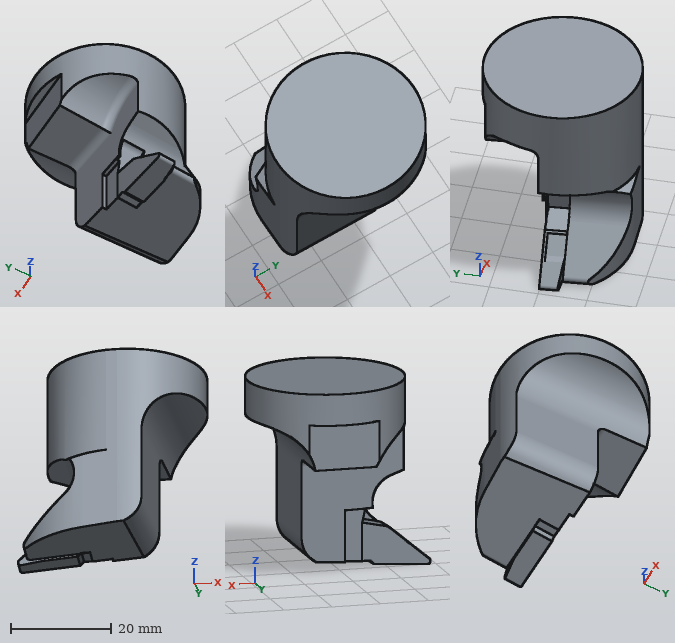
import cadquery as cq
import math

shank_radius = 16.0
part_height = 40.0
front_flat_y = -15.95
tool_tilt = 5.0
beyond = 32.0

rear_flat_y = 14.25
rear_flat_top = -6.4
rear_wall = 2.9
ceiling_radius = 12.0
ceiling_left_z = -9.35
ceiling_flat_z = -15.8
relief_fillet = 3.4 / 2
stem_x = 5.85
shoulder_radius = 10.15
shoulder_center_z = -17.7
heel_radius = 6.0
heel_top_z = -32.1

flare_right_x = 1.0
flare_arc_start_x = -5.9
flare_radius = 16.8
flare_arc_angle = 53.0
flare_top_z = -21.8
flare_top_slope = 30.0
bottom_z_at_axis = -37.6
bottom_slope = 5.0
nose_tip_radius = 0.9

groove_radius = 5.6
groove_x = -14.65
groove_z = -26.15
groove_upper_slope = 18.0
rake_slope = 40.0

insert_front_y = -2.6
insert_back_y = 1.95
insert_right_x = -7.2
insert_top_z = -31.55
insert_top_slope = 13.0
insert_tip_x = -21.8
insert_tip_radius = 0.65
insert_tip_front_y = -1.75
insert_taper_x = -16.8
insert_heel_x = -9.7
insert_heel_chamfer = 0.8
insert_bottom_z = -40.0
insert_bottom_slope = 5.0
notch_top_z = -22.95
notch_back_y = 2.6
notch_fillet = 3.0 / 2
lip_left_x = -3.2
lip_top_z = -27.2
chip_depth = 0.3
chip_margin = 0.65
chip_length = 5.2
chip_ramp = 1.2


def tan(degrees):
    return math.tan(math.radians(degrees))


def on_circle(x, z, radius, degrees):
    angle = math.radians(degrees)
    return (x + radius * math.cos(angle), z + radius * math.sin(angle))


def extrude_xz(outline, y_min, y_max):
    """Extrude a closed XZ outline between two Y positions."""
    return outline.extrude(y_min - y_max).translate((0, y_min, 0))


def box(x, y, z):
    """Box between the (low, high) limits along each axis."""
    return (
        cq.Workplane("XY")
        .box(x[1] - x[0], y[1] - y[0], z[1] - z[0], centered=False)
        .translate((x[0], y[0], z[0]))
    )


def tilt(shape):
    """Turn a shape from the head frame into the part frame."""
    return shape.rotate((0, 0, 0), (0, 0, 1), tool_tilt)


def make_flare():
    center_y = front_flat_y + flare_radius
    middle = on_circle(flare_arc_start_x, center_y, flare_radius, -90 - flare_arc_angle / 2)
    end = on_circle(flare_arc_start_x, center_y, flare_radius, -90 - flare_arc_angle)
    left_x = -1.5 * shank_radius
    side_y = end[1] + (end[0] - left_x) * tan(flare_arc_angle)
    plan = (
        cq.Workplane("XY")
        .workplane(offset=-part_height)
        .moveTo(flare_right_x, front_flat_y)
        .lineTo(flare_arc_start_x, front_flat_y)
        .threePointArc(middle, end)
        .lineTo(left_x, side_y)
        .lineTo(left_x, rear_wall)
        .lineTo(flare_right_x, rear_wall)
        .close()
        .extrude(part_height)
    )
    cone_rise = shank_radius * tan(flare_top_slope)
    cone_drop = (beyond - shank_radius) * tan(flare_top_slope)
    cone = (
        cq.Workplane("XZ")
        .polyline([
            (0, -part_height),
            (beyond, -part_height),
            (beyond, flare_top_z - cone_drop),
            (0, flare_top_z + cone_rise),
        ])
        .close()
        .revolve(360, (0, 0, 0), (0, 1, 0))
    )
    return plan.intersect(cone)


def make_rear_relief():
    """Space behind the head, under an arched ceiling."""
    center_z = ceiling_left_z - ceiling_radius
    end_angle = math.degrees(math.asin((ceiling_flat_z - center_z) / ceiling_radius))
    middle = on_circle(-shank_radius, center_z, ceiling_radius, (90 + end_angle) / 2)
    end = on_circle(-shank_radius, center_z, ceiling_radius, end_angle)
    outline = (
        cq.Workplane("XZ")
        .moveTo(-beyond, -beyond * 2)
        .lineTo(-beyond, ceiling_left_z)
        .lineTo(-shank_radius, ceiling_left_z)
        .threePointArc(middle, end)
        .lineTo(beyond, ceiling_flat_z)
        .lineTo(beyond, -beyond * 2)
        .close()
    )
    relief = extrude_xz(outline, rear_wall, beyond)
    ceiling_edges = cq.selectors.BoxSelector(
        (-beyond + 0.4, rear_wall - 0.4, ceiling_flat_z - 0.4),
        (beyond - 0.4, rear_wall + 0.4, ceiling_left_z + 0.4),
    )
    return relief.edges(ceiling_edges).fillet(relief_fillet)


def make_stem_relief():
    """Space to the right of the stem: shoulder arc, straight side and rounded heel."""
    shoulder_x = stem_x + shoulder_radius
    heel_x = stem_x - heel_radius
    outline = (
        cq.Workplane("XZ")
        .moveTo(beyond, shoulder_center_z + shoulder_radius)
        .lineTo(shoulder_x, shoulder_center_z + shoulder_radius)
        .threePointArc(
            on_circle(shoulder_x, shoulder_center_z, shoulder_radius, 135),
            (stem_x, shoulder_center_z),
        )
        .lineTo(stem_x, heel_top_z)
        .threePointArc(
            on_circle(heel_x, heel_top_z, heel_radius, -45),
            (heel_x, heel_top_z - heel_radius),
        )
        .lineTo(heel_x, -beyond * 2)
        .lineTo(beyond, -beyond * 2)
        .close()
    )
    return extrude_xz(outline, -beyond, beyond)


def make_head_envelope():
    """Keep-shape of the head: chip groove, raked face, rounded tip and sloped bottom."""
    upper = on_circle(groove_x, groove_z, groove_radius, 90 - groove_upper_slope)
    lower = on_circle(groove_x, groove_z, groove_radius, rake_slope - 90)
    tip_x = (
        (lower[1] - lower[0] * tan(rake_slope) - bottom_z_at_axis)
        / (tan(bottom_slope) - tan(rake_slope))
    )
    tip_z = bottom_z_at_axis + tip_x * tan(bottom_slope)
    outline = (
        cq.Workplane("XZ")
        .moveTo(-beyond, 0)
        .lineTo(-beyond, upper[1] + (upper[0] + beyond) * tan(groove_upper_slope))
        .lineTo(*upper)
        .threePointArc((groove_x + groove_radius, groove_z), lower)
        .lineTo(tip_x, tip_z)
        .lineTo(beyond, bottom_z_at_axis + beyond * tan(bottom_slope))
        .lineTo(beyond, 0)
        .close()
    )
    envelope = extrude_xz(outline, -beyond, beyond)
    tip_edge = cq.selectors.BoxSelector(
        (tip_x - 0.4, -beyond, tip_z - 0.4), (tip_x + 0.4, beyond, tip_z + 0.4)
    )
    return envelope.edges(tip_edge).fillet(nose_tip_radius)


def insert_tip_point(degrees):
    """Point on the rounded tip, which touches the left and bottom limits of the insert."""
    return on_circle(
        insert_tip_x + insert_tip_radius,
        insert_bottom_z + insert_tip_radius,
        insert_tip_radius,
        degrees,
    )


def insert_top_left():
    """Left end of the insert's top face, where the raked face tangent to the tip meets it."""
    rake_start = insert_tip_point(90 + rake_slope)
    return (rake_start[0] + (insert_top_z - rake_start[1]) / tan(rake_slope), insert_top_z)


def insert_top_right():
    left_x, left_z = insert_top_left()
    return (insert_right_x, left_z + (insert_right_x - left_x) * tan(insert_top_slope))


def make_seat():
    """Insert seat, the notch above it and the trimmed lip behind it."""
    left_x, left_z = insert_top_left()
    right_x, right_z = insert_top_right()
    seat_outline = (
        cq.Workplane("XZ")
        .polyline([
            (-beyond, -beyond * 2),
            (-beyond, left_z),
            (left_x, left_z),
            (right_x, right_z),
            (right_x, -beyond * 2),
        ])
        .close()
    )
    seat = extrude_xz(seat_outline, insert_front_y, insert_back_y)
    notch_right_x = right_x - (notch_top_z - right_z) * tan(insert_top_slope)
    notch_outline = (
        cq.Workplane("XZ")
        .polyline([
            (left_x, left_z),
            (left_x, notch_top_z),
            (notch_right_x, notch_top_z),
            (right_x, right_z),
        ])
        .close()
    )
    notch = extrude_xz(notch_outline, insert_front_y, notch_back_y)
    notch = notch.edges("|Y").edges(">Z").edges(">X").fillet(notch_fillet)
    lip_trim = box((-beyond, lip_left_x), (insert_back_y, beyond), (-beyond * 2, lip_top_z))
    return seat.union(notch).union(lip_trim)


def make_holder():
    shank = cq.Workplane("XY").circle(shank_radius).extrude(-part_height)
    shank = shank.cut(box((-beyond, beyond), (-beyond, front_flat_y), (-beyond * 2, 0)))
    shank = shank.cut(box((-beyond, beyond), (rear_flat_y, beyond), (-beyond * 2, rear_flat_top)))
    holder = shank.union(make_flare())
    holder = holder.intersect(tilt(make_head_envelope()))
    holder = holder.cut(tilt(make_rear_relief()))
    holder = holder.cut(make_stem_relief())
    return holder.cut(tilt(make_seat()))


def make_insert():
    top_left = insert_top_left()
    bottom_start = insert_tip_point(-90 + insert_bottom_slope)
    heel_z = bottom_start[1] + (insert_heel_x - bottom_start[0]) * tan(insert_bottom_slope)
    outline = (
        cq.Workplane("XZ")
        .moveTo(*bottom_start)
        .threePointArc(insert_tip_point(180), insert_tip_point(90 + rake_slope))
        .lineTo(*top_left)
        .lineTo(*insert_top_right())
        .lineTo(insert_right_x, heel_z + insert_heel_chamfer)
        .lineTo(insert_heel_x + insert_heel_chamfer, heel_z + insert_heel_chamfer)
        .lineTo(insert_heel_x, heel_z)
        .close()
    )
    insert = extrude_xz(outline, insert_front_y, insert_back_y)
    front_taper = (
        cq.Workplane("XY")
        .workplane(offset=-part_height)
        .polyline([
            (insert_taper_x, insert_front_y),
            (insert_tip_x, insert_tip_front_y),
            (insert_tip_x, insert_front_y),
        ])
        .close()
        .extrude(part_height)
    )
    chip_breaker = (
        cq.Workplane("XZ")
        .polyline([
            (-chip_margin, 0),
            (-chip_margin, -chip_depth),
            (-chip_length, -chip_depth),
            (-chip_length - chip_ramp, 0),
        ])
        .close()
    )
    chip_breaker = (
        extrude_xz(chip_breaker, insert_front_y, insert_back_y - chip_margin)
        .rotate((0, 0, 0), (0, 1, 0), -rake_slope)
        .translate((top_left[0], 0, top_left[1]))
    )
    return tilt(insert.cut(front_taper).cut(chip_breaker))


holder = make_holder()
insert = make_insert()
result = cq.Compound.makeCompound([holder.val(), insert.val()])